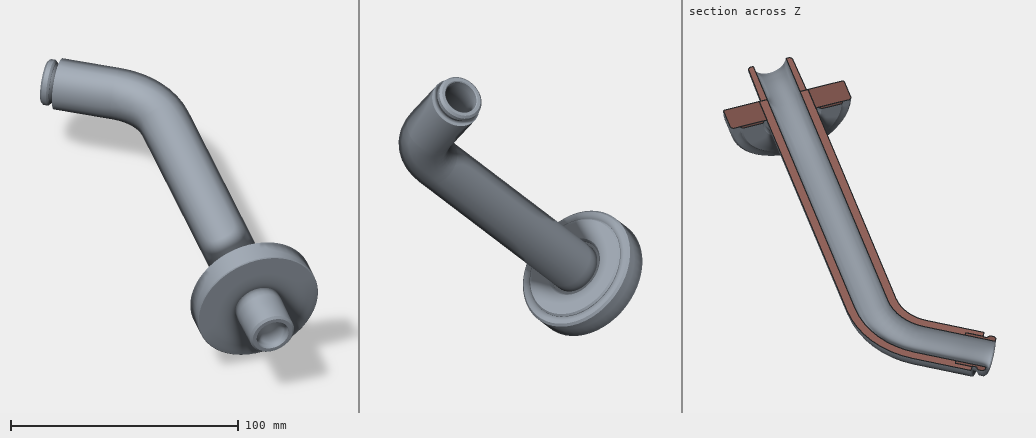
import cadquery as cq
import math

pipe_radius = 11.5
bore_radius = 7.5
bend_radius = 30.5
bend_angle = 57.0
outlet_leg = 26.6

flange_radius = 28.0
flange_front_x = 166.0
flange_back_x = 177.4
flange_front_chamfer = 1.0
flange_back_chamfer = 0.4
disc_radius = 23.7
disc_thickness = 1.2
disc_edge_chamfer = 0.8
disc_hole_radius = 12.6
disc_hole_chamfer = 1.0

inlet_end_x = 197.3
inlet_root_radius = 10.7
inlet_tip_radius = 10.3
inlet_chamfer = 1.0

spigot_radius = 8.9
spigot_depth = 7.7
lip_radius = 10.3
lip_gap = 2.0
nipple_projection = 6.0
lip_chamfer = 1.0
outlet_bore_chamfer = 0.4

turn = math.radians(bend_angle)
outlet_reach = outlet_leg + nipple_projection - lip_chamfer
bend_start_x = (bend_radius + lip_radius) * math.sin(turn) + outlet_reach * math.cos(turn)
outlet_direction = cq.Vector(-math.cos(turn), -math.sin(turn), 0)


def bend_point(angle):
    """Point on the centre line after turning by the given angle in radians."""
    return cq.Vector(bend_start_x - bend_radius * math.sin(angle), -bend_radius * (1 - math.cos(angle)), 0)


bend_end = bend_point(turn)
pipe_mouth = bend_end + outlet_direction * outlet_leg


def x_cylinder(radius, start_x, end_x):
    """Cylinder on the X axis."""
    return cq.Workplane("YZ", origin=(start_x, 0, 0)).circle(radius).extrude(end_x - start_x)


def outlet_cylinder(radius, start, end):
    """Cylinder on the outlet axis, with distances measured outward from the pipe mouth."""
    plane = cq.Plane(pipe_mouth + outlet_direction * start, xDir=(0, 0, 1), normal=outlet_direction)
    return cq.Workplane(plane).circle(radius).extrude(end - start)


def bent_rod(radius):
    """Solid rod that follows the whole centre line of the pipe."""
    straight = x_cylinder(radius, bend_start_x, flange_back_x)
    bend_path = (
        cq.Workplane("XY")
        .moveTo(bend_start_x, 0)
        .threePointArc(bend_point(turn / 2).toTuple()[:2], bend_end.toTuple()[:2])
    )
    bend = cq.Workplane("YZ", origin=(bend_start_x, 0, 0)).circle(radius).sweep(bend_path)
    return straight.union(bend).union(outlet_cylinder(radius, -outlet_leg, 0))


def make_pipe():
    socket = outlet_cylinder(spigot_radius, -spigot_depth, 0)
    return bent_rod(pipe_radius).cut(bent_rod(bore_radius)).cut(socket)


def make_flange():
    body = x_cylinder(flange_radius, flange_front_x, flange_back_x)
    body = body.faces("<X").chamfer(flange_front_chamfer)
    body = body.faces(">X").chamfer(flange_back_chamfer)
    return body.cut(x_cylinder(pipe_radius, flange_front_x, flange_back_x))


def make_cover_disc():
    disc_front_x = flange_front_x - disc_thickness
    body = x_cylinder(disc_radius, disc_front_x, flange_front_x)
    body = body.faces("<X").chamfer(disc_edge_chamfer)
    body = body.cut(x_cylinder(disc_hole_radius, disc_front_x, flange_front_x))
    return body.faces("<X").edges(cq.selectors.RadiusNthSelector(0)).chamfer(disc_hole_chamfer)


def make_inlet_nipple():
    profile = [
        (flange_back_x, bore_radius),
        (flange_back_x, inlet_root_radius),
        (inlet_end_x - inlet_chamfer, inlet_tip_radius),
        (inlet_end_x, inlet_tip_radius - inlet_chamfer),
        (inlet_end_x, bore_radius),
    ]
    return cq.Workplane("XY").polyline(profile).close().revolve(360, (0, 0, 0), (1, 0, 0))


def make_outlet_nipple():
    spigot = outlet_cylinder(spigot_radius, -spigot_depth, lip_gap)
    lip = outlet_cylinder(lip_radius, lip_gap, nipple_projection).edges("%CIRCLE").chamfer(lip_chamfer)
    bore = outlet_cylinder(bore_radius, -spigot_depth, nipple_projection)
    body = spigot.union(lip).cut(bore)
    mouth = body.faces(cq.selectors.DirectionMinMaxSelector(outlet_direction))
    return mouth.edges(cq.selectors.RadiusNthSelector(0)).chamfer(outlet_bore_chamfer)


pipe = make_pipe()
flange = make_flange()
cover_disc = make_cover_disc()
inlet_nipple = make_inlet_nipple()
outlet_nipple = make_outlet_nipple()

result = cq.Compound.makeCompound(
    [
        pipe.solids().val(),
        flange.solids().val(),
        cover_disc.solids().val(),
        inlet_nipple.solids().val(),
        outlet_nipple.solids().val(),
    ]
)